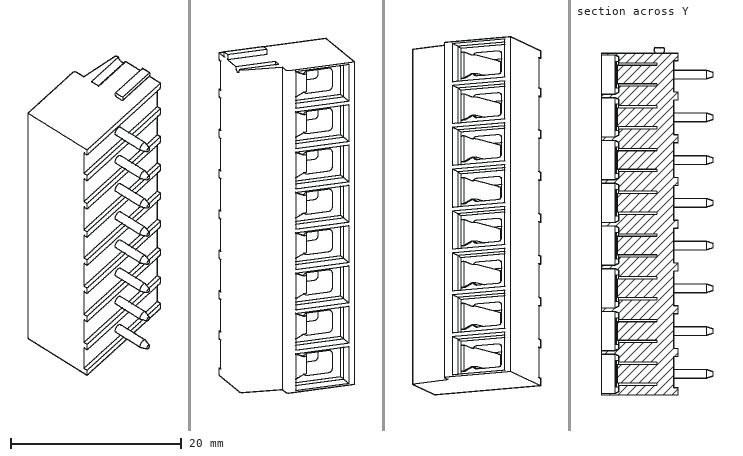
import cadquery as cq
import math


total_height = 40.7
body_height = 40.03
total_length = 13.1
body_depth = 9.0
body_width = 13.5

pole_count = 8
pitch = body_height / pole_count
pole_heights = [(pole + 0.5) * pitch for pole in range(pole_count)]

shelf_y = 8.55
shelf_depth = 1.42
back_inset = 2.25
corner_radius = 0.33

foot_height = 0.5
foot_width = 0.98
end_foot_width = 0.9
seat_x = body_depth - foot_height

pocket_front_y = 0.75
pocket_back_y = 7.4
pocket_wall = 0.45
pocket_straight_depth = 1.63
pocket_taper_depth = 0.4
pocket_taper_inset = 0.2
pocket_depth = pocket_straight_depth + pocket_taper_depth

slot_front_y = 2.0
slot_back_y = 5.65
slot_height = 2.75
slot_corner = 0.5
slot_bottom_x = 6.5

lug_back_y = 7.15
lug_flat_y = 6.67
lug_lip_y = 5.7
lug_slope_y = 5.15
lug_tip_y = 4.05
lug_rise = 0.25
lug_lip_drop = 0.4
lug_wide = 3.1
lug_narrow = 2.2

pin_y = 6.25
pin_diameter = 1.05
pin_tip_diameter = 0.53
pin_shoulder_x = 12.3
pin_root_depth = 0.4
pin_root_x = seat_x - pin_root_depth

rail_x = 6.8
rail_radius = 0.6
rail_axis_drop = 0.3
rail_axis_z = total_height - rail_axis_drop
groove_x = 3.15
groove_radius = 0.53


def make_body():
    outline = (
        cq.Workplane("XY")
        .moveTo(0, 0)
        .lineTo(body_depth, 0)
        .lineTo(body_depth, body_width)
        .lineTo(back_inset, body_width)
        .lineTo(shelf_depth, shelf_y)
        .lineTo(0, shelf_y)
        .close()
    )
    body = outline.extrude(body_height)
    shelf_corner = cq.selectors.NearestToPointSelector((0, shelf_y, body_height / 2))
    back_corner = cq.selectors.NearestToPointSelector((back_inset, body_width, body_height / 2))
    return body.edges("|Z").edges(shelf_corner + back_corner).fillet(corner_radius)


def make_foot_gap(height):
    """Recess around one pin, leaving the feet standing on both sides."""
    low = max(height - pitch / 2 + foot_width / 2, end_foot_width)
    high = min(height + pitch / 2 - foot_width / 2, body_height - end_foot_width)
    gap = cq.Workplane("XY").box(foot_height, body_width, high - low, centered=False)
    return gap.translate((seat_x, 0, low))


def make_pocket(height):
    """Rectangular opening with straight walls, then tapered walls down to its floor."""
    middle_y = (pocket_front_y + pocket_back_y) / 2
    length = pocket_back_y - pocket_front_y
    opening = pitch - pocket_wall
    taper_angle = math.degrees(math.atan(pocket_taper_inset / pocket_taper_depth))
    face = cq.Workplane("YZ").center(middle_y, height)
    straight = face.rect(length, opening).extrude(pocket_straight_depth)
    tapered = (
        face.workplane(offset=pocket_straight_depth)
        .rect(length, opening)
        .extrude(pocket_taper_depth, taper=taper_angle)
    )
    return straight.union(tapered)


def make_slot(height):
    return (
        cq.Workplane("YZ")
        .center((slot_front_y + slot_back_y) / 2, height)
        .rect(slot_back_y - slot_front_y, slot_height)
        .extrude(slot_bottom_x)
        .edges("|X")
        .fillet(slot_corner)
    )


def make_lug(height):
    """Side profile across Z, trimmed to a face that narrows from the pad to the slot."""
    top_x = pocket_depth - lug_rise
    profile = (
        cq.Workplane("XY")
        .workplane(offset=height - lug_wide / 2)
        .moveTo(slot_bottom_x, lug_back_y)
        .lineTo(pocket_depth, lug_back_y)
        .tangentArcPoint((top_x, lug_flat_y), relative=False)
        .lineTo(top_x, lug_lip_y)
        .tangentArcPoint((top_x + lug_lip_drop, lug_slope_y), relative=False)
        .lineTo(slot_bottom_x, lug_tip_y)
        .close()
        .extrude(lug_wide)
    )
    face = (
        cq.Workplane("YZ")
        .moveTo(lug_back_y, height - lug_wide / 2)
        .lineTo(lug_flat_y, height - lug_wide / 2)
        .lineTo(lug_lip_y, height - lug_narrow / 2)
        .lineTo(lug_tip_y, height - lug_narrow / 2)
        .lineTo(lug_tip_y, height + lug_narrow / 2)
        .lineTo(lug_lip_y, height + lug_narrow / 2)
        .lineTo(lug_flat_y, height + lug_wide / 2)
        .lineTo(lug_back_y, height + lug_wide / 2)
        .close()
        .extrude(body_depth)
    )
    return profile.intersect(face)


def make_pin(height):
    """Round pin with a conical tip, rooted a little way into the body."""
    return (
        cq.Workplane("XY")
        .moveTo(pin_root_x, 0)
        .lineTo(pin_root_x, pin_diameter / 2)
        .lineTo(pin_shoulder_x, pin_diameter / 2)
        .lineTo(total_length, pin_tip_diameter / 2)
        .lineTo(total_length, 0)
        .close()
        .revolve(360, (0, 0), (1, 0))
        .translate((0, pin_y, height))
    )


def make_back_rod(x, z, radius):
    """Cylinder along Y, running from the shelf line to the back of the body."""
    return cq.Workplane("XZ", origin=(x, shelf_y, z)).circle(radius).extrude(shelf_y - body_width)


def make_rail():
    """Round rail cut flat at the top and sunk into the body at its foot."""
    envelope = cq.Workplane("XY").box(body_depth, body_width, total_height, centered=False)
    return make_back_rod(rail_x, rail_axis_z, rail_radius).intersect(envelope)


result = make_body().cut(make_back_rod(groove_x, body_height, groove_radius)).union(make_rail())
for pole_height in pole_heights:
    result = (
        result.cut(make_foot_gap(pole_height))
        .cut(make_pocket(pole_height))
        .cut(make_slot(pole_height))
        .union(make_lug(pole_height))
        .union(make_pin(pole_height))
    )